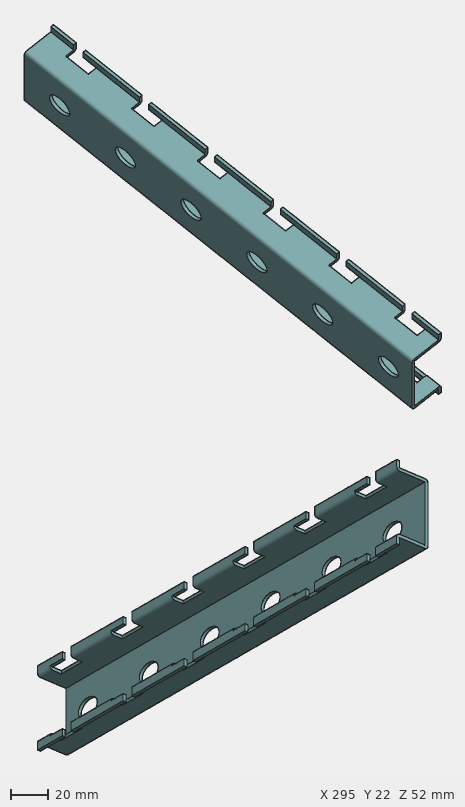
import cadquery as cq
import math

LENGTH = 295.0
DEPTH = 22.0
HEIGHT = 52.0
LIP_HEIGHT = 4.5
THICKNESS = 2.0
BEND_RADIUS = THICKNESS

COUNT = 6
PITCH_SPAN = 250.2
PITCH = PITCH_SPAN / (COUNT - 1)
FIRST_HOLE = 26.8
HOLE_LENGTH = 15.3
HOLE_HEIGHT = 12.0
FIRST_NOTCH = 17.5
LIP_GAP = 7.0
FLANGE_GAP = 17.0
NOTCH_DEPTH = 8.0

TIP_Z = HEIGHT / 2
FLANGE_OUTER_Z = TIP_Z - LIP_HEIGHT
FLANGE_INNER_Z = FLANGE_OUTER_Z - THICKNESS
LIP_INNER_Y = DEPTH - THICKNESS


def bend_middle(centre_y, centre_z, angle):
    """Point on the outside of a bend at the given angle in degrees from +Y towards +Z."""
    turn = math.radians(angle)
    return (centre_y + BEND_RADIUS * math.cos(turn), centre_z + BEND_RADIUS * math.sin(turn))


def make_rail():
    """Plain bent rail: the upper half of the section, extruded along X and mirrored."""
    web_centre = (THICKNESS, FLANGE_INNER_Z)
    lip_centre = (LIP_INNER_Y, FLANGE_OUTER_Z)
    upper = (
        cq.Workplane("YZ")
        .moveTo(0, 0)
        .lineTo(0, FLANGE_INNER_Z)
        .threePointArc(bend_middle(*web_centre, 135), (THICKNESS, FLANGE_OUTER_Z))
        .lineTo(LIP_INNER_Y, FLANGE_OUTER_Z)
        .lineTo(LIP_INNER_Y, TIP_Z)
        .lineTo(DEPTH, TIP_Z)
        .lineTo(DEPTH, FLANGE_OUTER_Z)
        .threePointArc(bend_middle(*lip_centre, -45), (LIP_INNER_Y, FLANGE_INNER_Z))
        .lineTo(THICKNESS, FLANGE_INNER_Z)
        .lineTo(THICKNESS, 0)
        .close()
        .extrude(LENGTH)
    )
    return upper.union(upper.mirror("XY")).clean()


def make_hole(index):
    """Cutter for an elliptical hole through the web."""
    x = FIRST_HOLE + index * PITCH
    return (
        cq.Workplane("XZ", origin=(x, 0, 0))
        .ellipse(HOLE_LENGTH / 2, HOLE_HEIGHT / 2)
        .extrude(-THICKNESS)
    )


def make_notch(index):
    """Cutter for an L-shaped notch: short through the lips, longer through the flanges and bends."""
    x = FIRST_NOTCH + index * PITCH
    y = DEPTH - NOTCH_DEPTH
    lip_gap = cq.Workplane("XY").box(LIP_GAP, NOTCH_DEPTH, HEIGHT, centered=(False, False, True))
    flange_gap = cq.Workplane("XY").box(
        FLANGE_GAP, NOTCH_DEPTH, 2 * FLANGE_OUTER_Z, centered=(False, False, True)
    )
    return lip_gap.union(flange_gap).translate((x, y, 0))


result = make_rail()
for i in range(COUNT):
    result = result.cut(make_hole(i)).cut(make_notch(i))